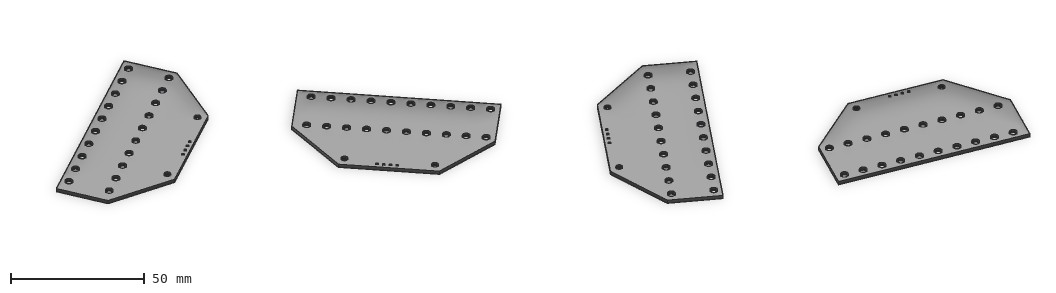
import cadquery as cq

length = 76.5
width = 40.0
thickness = 1.6
back_edge_width = 21.0
front_edge_width = 20.5
nose_back_y = 19.35
nose_front_y = -18.7

row_hole_diameter = 3.0
row_hole_count = 10
row_hole_pitch = 7.5
row_first_y = -32.75
row_x_positions = (3.05, 19.05)

mount_hole_diameter = 2.5
mount_hole_x = 36.5
mount_hole_y_positions = (-16.75, 17.3)

pin_hole_diameter = 1.0
pin_hole_count = 4
pin_hole_pitch = 2.5
pin_hole_x = 38.3
pin_first_y = -4.3


def column_points(x, first_y, pitch, count):
    """Evenly spaced points along +Y at one X position."""
    return [(x, first_y + index * pitch) for index in range(count)]


def drill(plate, points, diameter):
    """Cut through holes straight down at the given XY points."""
    holes = cq.Workplane("XY").pushPoints(points).circle(diameter / 2).extrude(thickness)
    return plate.cut(holes)


outline = [
    (0, -length / 2),
    (front_edge_width, -length / 2),
    (width, nose_front_y),
    (width, nose_back_y),
    (back_edge_width, length / 2),
    (0, length / 2),
]
result = cq.Workplane("XY").polyline(outline).close().extrude(thickness)

for row_x in row_x_positions:
    row_points = column_points(row_x, row_first_y, row_hole_pitch, row_hole_count)
    result = drill(result, row_points, row_hole_diameter)

mount_points = [(mount_hole_x, y) for y in mount_hole_y_positions]
result = drill(result, mount_points, mount_hole_diameter)

pin_points = column_points(pin_hole_x, pin_first_y, pin_hole_pitch, pin_hole_count)
result = drill(result, pin_points, pin_hole_diameter)